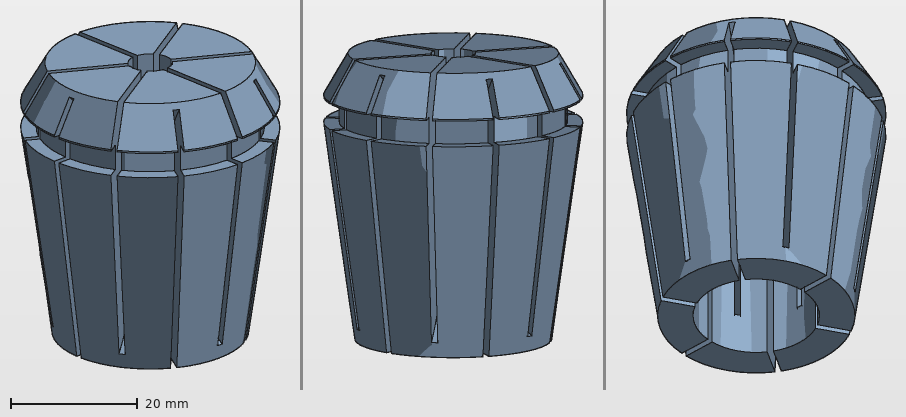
import cadquery as cq
import math

HEIGHT = 46.0
MAX_DIAMETER = 41.0

BODY_TOP = 34.9
BODY_HALF_ANGLE = 8.0
GROOVE_TOP = 39.05
GROOVE_RADIUS = 18.05
LIP_HEIGHT = 0.28
NOSE_HALF_ANGLE = 30.0

BORE_RADIUS = 3.5
COUNTERBORE_RADIUS = 10.0
COUNTERBORE_DEPTH = 18.05

SLOTS_PER_SET = 6
SLOT_PITCH = 360.0 / SLOTS_PER_SET
SLOT_WIDTH = 1.0
SAW_RADIUS = 39.1
SAW_OVERRUN = 4.6
TOP_SLOT_REACH = -2.5
TOP_SLOT_END = 2.45
BOTTOM_SLOT_REACH = 4.7
BOTTOM_SLOT_END = 45.0

MAX_RADIUS = MAX_DIAMETER / 2
LIP_TOP = GROOVE_TOP + LIP_HEIGHT
BODY_SLOPE = math.tan(math.radians(BODY_HALF_ANGLE))
NOSE_SLOPE = math.tan(math.radians(NOSE_HALF_ANGLE))


def body_radius(z):
    """Outer radius of the main taper at height z."""
    return MAX_RADIUS - (BODY_TOP - z) * BODY_SLOPE


def nose_radius(z):
    """Outer radius of the nose taper at height z."""
    return MAX_RADIUS - (z - LIP_TOP) * NOSE_SLOPE


def make_sleeve():
    """Revolve the outer profile together with the stepped bore."""
    profile = [
        (COUNTERBORE_RADIUS, 0),
        (body_radius(0), 0),
        (MAX_RADIUS, BODY_TOP),
        (GROOVE_RADIUS, BODY_TOP),
        (GROOVE_RADIUS, GROOVE_TOP),
        (MAX_RADIUS, GROOVE_TOP),
        (MAX_RADIUS, LIP_TOP),
        (nose_radius(HEIGHT), HEIGHT),
        (BORE_RADIUS, HEIGHT),
        (BORE_RADIUS, COUNTERBORE_DEPTH),
        (COUNTERBORE_RADIUS, COUNTERBORE_DEPTH),
    ]
    return cq.Workplane("XZ").polyline(profile).close().revolve(360, (0, 0, 0), (0, 1, 0))


def make_saw_cut(reach, end_radius, end_height, open_height):
    """Saw slot toward +X, open at open_height, whose round floor ends at the given outer point."""
    center_x = reach + SAW_RADIUS
    rise = math.sqrt(SAW_RADIUS**2 - (center_x - end_radius) ** 2)
    toward_end = math.copysign(1, end_height - open_height)
    center_z = end_height - toward_end * rise
    diagonal = SAW_RADIUS * math.sqrt(0.5)
    return (
        cq.Workplane("XZ", origin=(0, SLOT_WIDTH / 2, 0))
        .moveTo(center_x, open_height)
        .lineTo(reach, open_height)
        .lineTo(reach, center_z)
        .threePointArc(
            (center_x - diagonal, center_z + toward_end * diagonal),
            (center_x, center_z + toward_end * SAW_RADIUS),
        )
        .close()
        .extrude(SLOT_WIDTH)
    )


top_saw_cut = make_saw_cut(
    TOP_SLOT_REACH, body_radius(TOP_SLOT_END), TOP_SLOT_END, HEIGHT + SAW_OVERRUN
)
bottom_saw_cut = make_saw_cut(
    BOTTOM_SLOT_REACH, nose_radius(BOTTOM_SLOT_END), BOTTOM_SLOT_END, -SAW_OVERRUN
)

result = make_sleeve()
for i in range(SLOTS_PER_SET):
    top_angle = i * SLOT_PITCH
    bottom_angle = top_angle + SLOT_PITCH / 2
    result = result.cut(top_saw_cut.rotate((0, 0, 0), (0, 0, 1), top_angle))
    result = result.cut(bottom_saw_cut.rotate((0, 0, 0), (0, 0, 1), bottom_angle))